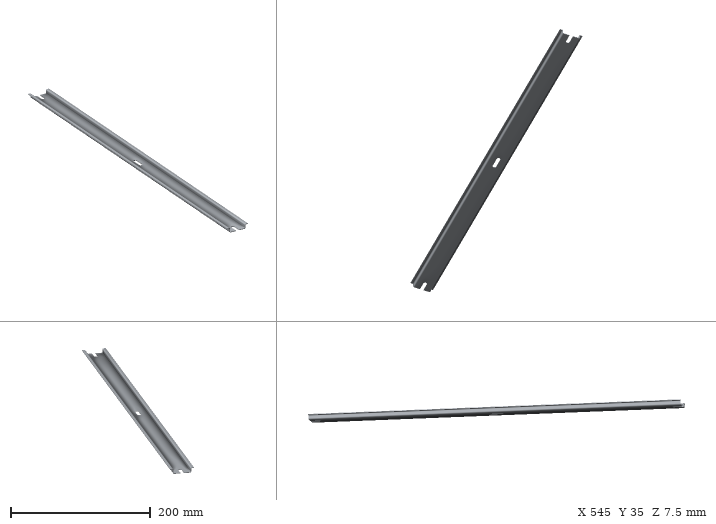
import cadquery as cq

RAIL_LENGTH = 545.0
RAIL_WIDTH = 35.0
RAIL_HEIGHT = 7.5

SHEET = 1.0
CHANNEL_WIDTH = 27.0
FLOOR_OUTER_RADIUS = 2.0
FLOOR_INNER_RADIUS = 0.5
FLANGE_INNER_RADIUS = 0.8
FLANGE_OUTER_RADIUS = FLANGE_INNER_RADIUS + SHEET

SLOT_LENGTH = 20.0
SLOT_WIDTH = 5.5
END_NOTCH_DEPTH = 15.0


def half_section():
    """Closed outline of the +Y half of the section, from the middle of the floor to the flange."""
    flange_tip = RAIL_WIDTH / 2
    wall_outside = CHANNEL_WIDTH / 2
    wall_inside = wall_outside - SHEET
    flange_underside = RAIL_HEIGHT - SHEET
    return (
        cq.Workplane("YZ")
        .lineTo(wall_outside - FLOOR_OUTER_RADIUS, 0)
        .tangentArcPoint((wall_outside, FLOOR_OUTER_RADIUS), relative=False)
        .lineTo(wall_outside, flange_underside - FLANGE_INNER_RADIUS)
        .tangentArcPoint((wall_outside + FLANGE_INNER_RADIUS, flange_underside), relative=False)
        .lineTo(flange_tip, flange_underside)
        .lineTo(flange_tip, RAIL_HEIGHT)
        .lineTo(wall_inside + FLANGE_OUTER_RADIUS, RAIL_HEIGHT)
        .tangentArcPoint((wall_inside, RAIL_HEIGHT - FLANGE_OUTER_RADIUS), relative=False)
        .lineTo(wall_inside, SHEET + FLOOR_INNER_RADIUS)
        .tangentArcPoint((wall_inside - FLOOR_INNER_RADIUS, SHEET), relative=False)
        .lineTo(0, SHEET)
        .close()
    )


def rail_body():
    """Channel with two outward flanges, symmetric about the XZ plane and centred along X."""
    half = half_section().extrude(RAIL_LENGTH / 2, both=True)
    return half.union(half.mirror("XZ")).clean()


def slot_cutter(center_x, length):
    """Round-ended slot along X, through the floor."""
    return cq.Workplane("XY").center(center_x, 0).slot2D(length, SLOT_WIDTH).extrude(SHEET)


result = rail_body().cut(slot_cutter(0, SLOT_LENGTH))

for end_x in (-RAIL_LENGTH / 2, RAIL_LENGTH / 2):
    result = result.cut(slot_cutter(end_x, 2 * END_NOTCH_DEPTH))